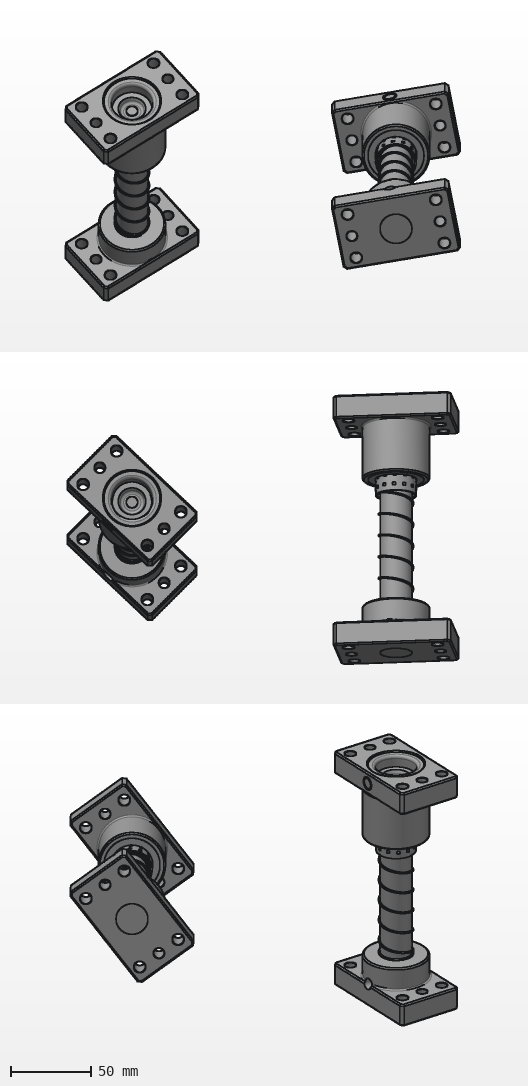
import cadquery as cq
import math


TOTAL_HEIGHT = 162.66
TURN_ANGLE = 63.17

FLANGE_LENGTH = 74.0
FLANGE_WIDTH = 44.0
FLANGE_THICKNESS = 15.0
FLANGE_CORNER_CHAMFER = 2.0
FLANGE_EDGE_CHAMFER = 1.0
BARREL_RADIUS = 21.0
BARREL_END_CHAMFER = 1.0
BARREL_ROOT_FILLET = 1.0

CORNER_HOLE_SPACING_X = 56.0
CORNER_HOLE_SPACING_Y = 30.0
CORNER_HOLE_DIAMETER = 7.0
MIDDLE_HOLE_DIAMETER = 6.5
HOLE_MOUTH_CHAMFER = 0.3

HOUSING_HEIGHT = 50.0
BASE_HEIGHT = 30.0
SIDE_HOLE_RADIUS = 3.5
PLUG_RADIUS = 4.3
PLUG_LENGTH = 2.0
PLUG_FACE_RADIUS = 3.5
PLUG_RIM_DEPTH = 0.2

BUSHING_RADIUS = 17.5
BUSHING_BORE_RADIUS = 13.0
BUSHING_MOUTH_FILLET = 2.0
BUSHING_RECESS = 0.8

PILLAR_RADIUS = 10.0

CAP_RADIUS = 12.4
CAP_DEPTH = 8.5
CAP_THICKNESS = 6.0
BOWL_MOUTH_RADIUS = 8.6
BOWL_CONE_HEIGHT = 1.9
BOWL_WALL_ANGLE = 60.0
BOWL_FLOOR_RADIUS = 5.4
SCREW_RADIUS = 3.6
SCREW_HEAD_RISE = 0.8
SCREW_REACH = 10.0

CAGE_BOTTOM = 102.5
CAGE_LENGTH = 45.0
CAGE_RADIUS = 12.6
CAGE_CLEARANCE = 0.2
LOWEST_LATITUDE = -90
BALLS_PER_ROW = 12
BALL_ROWS = 7
FIRST_ROW_HEIGHT = 4.2
ROW_SPACING = 6.2
FIRST_BALL_ANGLE = 4.6
ROW_TWIST = 2.6

SPRING_WIRE_DIAMETER = 1.0
SPRING_PITCH = 13.94
SPRING_CLOSED_PITCH = 1.1
SPRING_END_ANGLE = 328.0
SPRING_TURNS = 5.17
SPRING_SEAT_DEPTH = 2.5

HOUSING_BOTTOM = TOTAL_HEIGHT - HOUSING_HEIGHT
PLUG_HEIGHT = TOTAL_HEIGHT - FLANGE_THICKNESS / 2
BUSHING_TOP = TOTAL_HEIGHT - BUSHING_RECESS
CAP_TOP = TOTAL_HEIGHT - CAP_DEPTH
PILLAR_TOP = CAP_TOP - CAP_THICKNESS
WALL_SLOPE = math.radians(BOWL_WALL_ANGLE)
BOWL_CONE_END_RADIUS = BOWL_MOUTH_RADIUS - BOWL_CONE_HEIGHT / math.tan(WALL_SLOPE)
BOWL_FILLET = (BOWL_CONE_END_RADIUS - BOWL_FLOOR_RADIUS) / math.sin(WALL_SLOPE)
BOWL_CONE_END = CAP_TOP - BOWL_CONE_HEIGHT
BOWL_FLOOR = BOWL_CONE_END - BOWL_FILLET * (1 - math.cos(WALL_SLOPE))
BALL_RADIUS = (BUSHING_BORE_RADIUS - PILLAR_RADIUS) / 2
BALL_CENTRE_RADIUS = PILLAR_RADIUS + BALL_RADIUS
SPRING_WIRE_RADIUS = SPRING_WIRE_DIAMETER / 2
SPRING_RADIUS = PILLAR_RADIUS + SPRING_WIRE_RADIUS
SPRING_SEAT_RADIUS = SPRING_RADIUS + SPRING_WIRE_DIAMETER


def cylinder(radius, bottom, top):
    return cq.Workplane("XY").workplane(offset=bottom).circle(radius).extrude(top - bottom)


def turned(body):
    """Turn a body built along X to its final direction about the Z axis."""
    return body.rotate((0, 0, 0), (0, 0, 1), TURN_ANGLE)


def side_cylinder(radius, height, depth):
    """Round bar reaching inward by `depth` from the middle of the +Y long side of a flange."""
    face = cq.Workplane("XZ", origin=(0, FLANGE_WIDTH / 2, height))
    return face.circle(radius).extrude(depth)


def mouth_cone(radius, height, direction):
    """Chamfer cone of a hole mouth at `height`, narrowing along +Z (1) or -Z (-1)."""
    return cq.Solid.makeCone(
        radius + HOLE_MOUTH_CHAMFER, radius, HOLE_MOUTH_CHAMFER,
        pnt=cq.Vector(0, 0, height), dir=cq.Vector(0, 0, direction),
    )


def root_fillet():
    """Concave ring where the barrel meets the flange, ending at the flange's chamfered edges."""
    outer_radius = BARREL_RADIUS + BARREL_ROOT_FILLET
    inner_radius = BARREL_RADIUS - BARREL_END_CHAMFER
    fillet_top = FLANGE_THICKNESS + BARREL_ROOT_FILLET
    arc_offset = BARREL_ROOT_FILLET * (1 - math.sqrt(0.5))
    ring = (
        cq.Workplane("XZ")
        .moveTo(inner_radius, FLANGE_THICKNESS)
        .lineTo(outer_radius, FLANGE_THICKNESS)
        .threePointArc(
            (BARREL_RADIUS + arc_offset, FLANGE_THICKNESS + arc_offset), (BARREL_RADIUS, fillet_top)
        )
        .lineTo(inner_radius, fillet_top)
        .close()
        .revolve(360, (0, 0), (0, 1))
    )
    flat_width = FLANGE_WIDTH - 2 * FLANGE_EDGE_CHAMFER
    flat_area = cq.Workplane("XY").rect(FLANGE_LENGTH, flat_width).extrude(fillet_top)
    return ring.intersect(flat_area)


def flanged_barrel(height):
    """Drilled flange at Z = 0 with a round barrel standing on it up to `height`."""
    flange = (
        cq.Workplane("XY")
        .rect(FLANGE_LENGTH, FLANGE_WIDTH)
        .extrude(FLANGE_THICKNESS)
        .edges("|Z").chamfer(FLANGE_CORNER_CHAMFER)
        .faces("<Z or >Z").edges().chamfer(FLANGE_EDGE_CHAMFER)
    )
    barrel = (
        cylinder(BARREL_RADIUS, 0, height)
        .faces(">Z").edges().chamfer(BARREL_END_CHAMFER)
    )
    body = flange.union(barrel).union(root_fillet())

    for x_side in (-1, 1):
        for y_side in (-1, 0, 1):
            diameter = CORNER_HOLE_DIAMETER if y_side else MIDDLE_HOLE_DIAMETER
            x = x_side * CORNER_HOLE_SPACING_X / 2
            y = y_side * CORNER_HOLE_SPACING_Y / 2
            hole = (
                cylinder(diameter / 2, 0, FLANGE_THICKNESS)
                .union(cq.Workplane(mouth_cone(diameter / 2, 0, 1)))
                .union(cq.Workplane(mouth_cone(diameter / 2, FLANGE_THICKNESS, -1)))
            )
            body = body.cut(hole.translate((x, y, 0)))
    return body


def make_base():
    base = flanged_barrel(BASE_HEIGHT)
    base = base.cut(cylinder(PILLAR_RADIUS, 0, BASE_HEIGHT))
    base = base.cut(side_cylinder(SIDE_HOLE_RADIUS, FLANGE_THICKNESS, FLANGE_WIDTH / 2))
    return turned(base)


def make_housing():
    housing = (
        flanged_barrel(HOUSING_HEIGHT)
        .rotate((0, 0, 0), (1, 0, 0), 180)
        .translate((0, 0, TOTAL_HEIGHT))
    )
    housing = housing.cut(cylinder(BUSHING_RADIUS, HOUSING_BOTTOM, TOTAL_HEIGHT))
    mouth = cq.Solid.makeCone(
        BUSHING_RADIUS, BUSHING_RADIUS + BUSHING_RECESS, BUSHING_RECESS,
        pnt=cq.Vector(0, 0, BUSHING_TOP),
    )
    housing = housing.cut(cq.Workplane(mouth))
    housing = housing.cut(side_cylinder(PLUG_RADIUS, PLUG_HEIGHT, PLUG_LENGTH))
    return turned(housing)


def make_plug():
    """Round marker plug in the housing flange, with a shallow lowered rim."""
    plug = side_cylinder(PLUG_RADIUS, PLUG_HEIGHT, PLUG_LENGTH)
    rim = side_cylinder(PLUG_RADIUS, PLUG_HEIGHT, PLUG_RIM_DEPTH)
    rim = rim.cut(side_cylinder(PLUG_FACE_RADIUS, PLUG_HEIGHT, PLUG_RIM_DEPTH))
    return turned(plug.cut(rim))


def make_bushing():
    return (
        cylinder(BUSHING_RADIUS, HOUSING_BOTTOM, BUSHING_TOP)
        .cut(cylinder(BUSHING_BORE_RADIUS, HOUSING_BOTTOM, BUSHING_TOP))
        .faces(">Z").edges(cq.selectors.RadiusNthSelector(0))
        .fillet(BUSHING_MOUTH_FILLET)
    )


def make_screw():
    return cylinder(SCREW_RADIUS, PILLAR_TOP - SCREW_REACH, BOWL_FLOOR + SCREW_HEAD_RISE)


def make_pillar():
    return cylinder(PILLAR_RADIUS, 0, PILLAR_TOP).cut(make_screw())


def make_cap():
    """Retaining disc on the pillar, with a conical bowl rounded into a flat floor."""
    arc_middle = (
        BOWL_FLOOR_RADIUS + BOWL_FILLET * math.sin(WALL_SLOPE / 2),
        BOWL_FLOOR + BOWL_FILLET * (1 - math.cos(WALL_SLOPE / 2)),
    )
    cap = (
        cq.Workplane("XZ")
        .moveTo(0, PILLAR_TOP)
        .lineTo(CAP_RADIUS, PILLAR_TOP)
        .lineTo(CAP_RADIUS, CAP_TOP)
        .lineTo(BOWL_MOUTH_RADIUS, CAP_TOP)
        .lineTo(BOWL_CONE_END_RADIUS, BOWL_CONE_END)
        .threePointArc(arc_middle, (BOWL_FLOOR_RADIUS, BOWL_FLOOR))
        .lineTo(0, BOWL_FLOOR)
        .close()
        .revolve(360, (0, 0), (0, 1))
    )
    return cap.cut(make_screw())


def make_cage():
    """Sleeve carrying twisted rows of balls, with a recess for the spring at its lower end."""
    cage_top = CAGE_BOTTOM + CAGE_LENGTH
    cage = (
        cylinder(CAGE_RADIUS, CAGE_BOTTOM, cage_top)
        .cut(cylinder(PILLAR_RADIUS + CAGE_CLEARANCE, CAGE_BOTTOM, cage_top))
        .cut(cylinder(SPRING_SEAT_RADIUS, CAGE_BOTTOM, CAGE_BOTTOM + SPRING_SEAT_DEPTH))
    ).val()
    balls = []
    for row in range(BALL_ROWS):
        height = CAGE_BOTTOM + FIRST_ROW_HEIGHT + row * ROW_SPACING
        for place in range(BALLS_PER_ROW):
            angle = math.radians(FIRST_BALL_ANGLE + row * ROW_TWIST + place * 360 / BALLS_PER_ROW)
            centre = cq.Vector(
                BALL_CENTRE_RADIUS * math.cos(angle), BALL_CENTRE_RADIUS * math.sin(angle), height
            )
            balls.append(cq.Solid.makeSphere(BALL_RADIUS, centre, angleDegrees1=LOWEST_LATITUDE))
    return cq.Workplane(cage.fuse(*balls))


def coil(pitch, turns, start_angle, start_height):
    """Left-handed length of spring wire rising from the given start."""
    height = turns * pitch
    path = cq.Wire.makeHelix(pitch, height, SPRING_RADIUS, lefthand=True)
    section = cq.Workplane("XZ").center(SPRING_RADIUS, 0).circle(SPRING_WIRE_RADIUS)
    wire = section.sweep(path, isFrenet=True)
    return wire.rotate((0, 0, 0), (0, 0, 1), start_angle).translate((0, 0, start_height))


def make_spring():
    """Compression spring with one closed turn resting on the base."""
    end_height = BASE_HEIGHT + SPRING_WIRE_RADIUS
    closed_turn = coil(SPRING_CLOSED_PITCH, 1, SPRING_END_ANGLE, end_height)
    open_turns = coil(
        SPRING_PITCH, SPRING_TURNS, SPRING_END_ANGLE, end_height + SPRING_CLOSED_PITCH
    )
    return closed_turn.union(open_turns)


base = make_base()
housing = make_housing()
plug = make_plug()
bushing = make_bushing()
pillar = make_pillar()
cap = make_cap()
screw = make_screw()
cage = make_cage()
spring = make_spring()

bodies = (base, housing, plug, bushing, pillar, cap, screw, cage, spring)
result = cq.Compound.makeCompound([body.solids().val() for body in bodies])